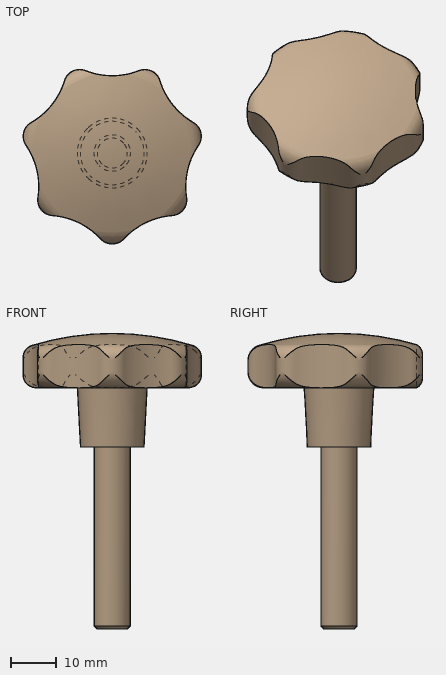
import cadquery as cq
import math


lobe_count = 7
head_radius = 20.0
head_height = 12.0
dome_radius = 60.0
rim_round = 3.5
lobe_tip_radius = 3.5
hollow_depth = 3.0

hub_height = 13.0
hub_base_radius = 7.0
hub_draft_angle = 3.0

stud_radius = 4.0
stud_length = 40.0
stud_chamfer = 0.7

head_bottom = hub_height
head_top = head_bottom + head_height
hub_top_radius = hub_base_radius + hub_height * math.tan(math.radians(hub_draft_angle))


def polar(radius, angle):
    """Point at a radius and an angle in radians."""
    return (radius * math.cos(angle), radius * math.sin(angle))


def make_head_blank():
    """Revolve the domed disc, with the rim rounds tangent to dome, side and underside."""
    round_center_r = head_radius - rim_round
    dome_center_z = head_top - dome_radius
    center_gap = dome_radius - rim_round
    upper_center_z = dome_center_z + math.sqrt(center_gap**2 - round_center_r**2)
    lower_center_z = head_bottom + rim_round

    dome_edge_tilt = math.asin(round_center_r / center_gap)
    dome_mid_tilt = dome_edge_tilt / 2
    round_mid_tilt = (dome_edge_tilt + math.pi / 2) / 2

    def dome_point(tilt):
        return (dome_radius * math.sin(tilt), dome_center_z + dome_radius * math.cos(tilt))

    upper_round_mid = (
        round_center_r + rim_round * math.sin(round_mid_tilt),
        upper_center_z + rim_round * math.cos(round_mid_tilt),
    )
    lower_round_mid = (
        round_center_r + rim_round * math.sqrt(0.5),
        lower_center_z - rim_round * math.sqrt(0.5),
    )
    return (
        cq.Workplane("XZ")
        .moveTo(0, head_bottom)
        .lineTo(round_center_r, head_bottom)
        .threePointArc(lower_round_mid, (head_radius, lower_center_z))
        .lineTo(head_radius, upper_center_z)
        .threePointArc(upper_round_mid, dome_point(dome_edge_tilt))
        .threePointArc(dome_point(dome_mid_tilt), (0, head_top))
        .close()
        .revolve(360, (0, 0, 0), (0, 1, 0))
    )


def make_star_prism():
    """Extrude the star outline of lobe tip arcs tangent to concave hollow arcs."""
    half_pitch = math.pi / lobe_count
    tip_center_r = head_radius - lobe_tip_radius
    hollow_bottom_r = head_radius - hollow_depth

    reach = hollow_bottom_r - lobe_tip_radius
    hollow_center_r = (tip_center_r**2 - reach**2) / (2 * (tip_center_r * math.cos(half_pitch) - reach))
    hollow_center_x, hollow_center_y = polar(hollow_center_r, half_pitch)

    tangent_angle = math.atan2(hollow_center_y, hollow_center_x - tip_center_r)
    tangent_x = tip_center_r + lobe_tip_radius * math.cos(tangent_angle)
    tangent_y = lobe_tip_radius * math.sin(tangent_angle)
    tangent_r = math.hypot(tangent_x, tangent_y)
    tangent_offset = math.atan2(tangent_y, tangent_x)

    first_lobe_angle = -math.pi / 2
    outline = cq.Workplane("XY").workplane(offset=head_bottom)
    outline = outline.moveTo(*polar(tangent_r, first_lobe_angle - tangent_offset))
    for index in range(lobe_count):
        lobe_angle = first_lobe_angle + 2 * half_pitch * index
        hollow_angle = lobe_angle + half_pitch
        next_lobe_angle = hollow_angle + half_pitch
        outline = outline.threePointArc(
            polar(head_radius, lobe_angle),
            polar(tangent_r, lobe_angle + tangent_offset),
        )
        outline = outline.threePointArc(
            polar(hollow_bottom_r, hollow_angle),
            polar(tangent_r, next_lobe_angle - tangent_offset),
        )
    return outline.close().extrude(head_height)


def make_hub():
    """Cone frustum widening upward to the head."""
    return cq.Workplane(cq.Solid.makeCone(hub_base_radius, hub_top_radius, hub_height))


def make_stud():
    """Plain cylinder below the hub, chamfered at its free end."""
    stud = cq.Workplane("XY").circle(stud_radius).extrude(-stud_length)
    return stud.faces("<Z").chamfer(stud_chamfer)


head = make_head_blank().intersect(make_star_prism())
result = head.union(make_hub()).union(make_stud())